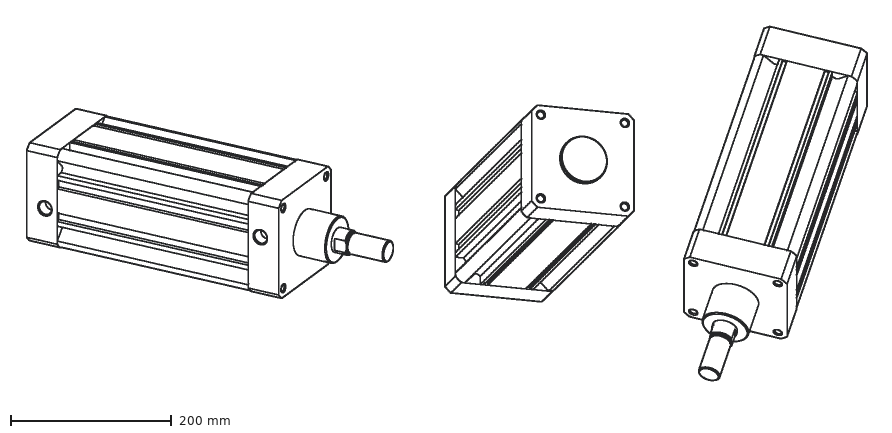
import cadquery as cq
import math


total_length = 485.0
cap_size = 134.0
cap_length = 43.5
barrel_length = 272.0
half_size = cap_size / 2

spigot_length = 6.5
spigot_chamfer = 1.0
collar_diameter = 60.0
collar_length = 46.5
collar_chamfer = 1.5

rear_cap_start = spigot_length
barrel_start = rear_cap_start + cap_length
front_cap_start = barrel_start + barrel_length
front_cap_end = front_cap_start + cap_length
collar_end = front_cap_end + collar_length

flat_half_width = 59.0
cap_corner_radius = math.hypot(half_size, flat_half_width)
screw_spacing = 109.5
screw_hole_diameter = 8.5
screw_hole_depth = 19.5
screw_hole_chamfer = 1.5
port_diameter = 17.5
port_depth = 17.0
port_chamfer = 1.5
port_height = 14.0
port_inset = 26.0

corner_offset = screw_spacing / 2
corner_rib_radius = half_size - corner_offset
channel_wall = 34.5
channel_ledge_level = 56.5
channel_floor_centre = 40.0
channel_floor_half_width = 2.5
channel_floor_radius = channel_floor_half_width / math.sin(math.radians(45))

slit_inner = 24.5
slit_outer = 30.0
slit_depth = 3.0

tapered_inner = 16.5
tapered_outer = 28.0
tapered_depth = 4.5
tapered_flank = 1.0

rod_diameter = 32.0
rod_collar_length = 4.0
shoulder_length = 20.0
shoulder_chamfer = 1.5
flat_width = 27.5
neck_length = 1.0
thread_diameter = 27.5
thread_chamfer = 1.5
neck_diameter = thread_diameter - 2 * thread_chamfer


def x_cylinder(start, length, diameter):
    return cq.Workplane("YZ", origin=(start, 0, 0)).circle(diameter / 2).extrude(length)


def cap_block(start):
    """Square block whose corners are turned down to a large circle."""
    block = cq.Workplane("YZ", origin=(start, 0, 0)).rect(cap_size, cap_size).extrude(cap_length)
    return block.intersect(x_cylinder(start, cap_length, 2 * cap_corner_radius))


def chamfered_bore(diameter, depth, chamfer):
    """Cutter for a blind hole from the origin along +Z with a chamfered mouth."""
    radius = diameter / 2
    outline = [(0, 0), (radius + chamfer, 0), (radius, chamfer), (radius, depth), (0, depth)]
    return cq.Workplane("XZ").polyline(outline).close().revolve(360, (0, 0, 0), (0, 1, 0))


def cut_screw_holes(cap, face_x, inward):
    """Cut the four corner holes; inward is +1 or -1, the drilling direction along X."""
    bore = chamfered_bore(screw_hole_diameter, screw_hole_depth, screw_hole_chamfer)
    bore = bore.rotate((0, 0, 0), (0, 1, 0), inward * 90)
    for y in (-corner_offset, corner_offset):
        for z in (-corner_offset, corner_offset):
            cap = cap.cut(bore.translate((face_x, y, z)))
    return cap


def cut_port(cap, x, z):
    bore = chamfered_bore(port_diameter, port_depth, port_chamfer)
    bore = bore.rotate((0, 0, 0), (1, 0, 0), -90)
    return cap.cut(bore.translate((x, -half_size, z)))


def make_rear_cap():
    spigot = x_cylinder(0, spigot_length, collar_diameter).faces("<X").chamfer(spigot_chamfer)
    cap = cap_block(rear_cap_start).union(spigot)
    cap = cut_screw_holes(cap, rear_cap_start, 1)
    return cut_port(cap, rear_cap_start + port_inset, -port_height)


def make_front_cap():
    collar = x_cylinder(front_cap_end, collar_length, collar_diameter)
    collar = collar.faces(">X").chamfer(collar_chamfer)
    cap = cap_block(front_cap_start).union(collar)
    cap = cut_screw_holes(cap, front_cap_end, -1)
    return cut_port(cap, front_cap_end - port_inset, port_height)


def barrel_plane():
    """Sketch plane of the barrel section: local x is Y and local y is Z."""
    return cq.Workplane("YZ", origin=(barrel_start, 0, 0))


def rib_channel():
    """Channel between the top face and the corner rib on the +Y side."""
    floor_start = channel_floor_centre - channel_floor_half_width
    floor_end = channel_floor_centre + channel_floor_half_width
    floor_end_level = half_size - (corner_offset - floor_end)
    arc_depth = channel_floor_radius - channel_floor_half_width
    return (
        barrel_plane()
        .moveTo(channel_wall, half_size)
        .lineTo(channel_wall, channel_ledge_level)
        .lineTo(floor_start, floor_end_level)
        .threePointArc((channel_floor_centre, floor_end_level - arc_depth), (floor_end, floor_end_level))
        .lineTo(corner_offset, half_size)
        .close()
        .extrude(barrel_length)
    )


def slit():
    """Straight-walled groove in the top face on the +Y side."""
    width = slit_outer - slit_inner
    outline = barrel_plane().center(slit_inner + width / 2, half_size).rect(width, 2 * slit_depth)
    return outline.extrude(barrel_length)


def tapered_groove():
    """Groove with leaning flanks, in the top face on the +Y side."""
    floor_level = half_size - tapered_depth
    outline = [
        (tapered_inner, half_size),
        (tapered_inner + tapered_flank, floor_level),
        (tapered_outer - tapered_flank, floor_level),
        (tapered_outer, half_size),
    ]
    return barrel_plane().polyline(outline).close().extrude(barrel_length)


def make_barrel():
    barrel = barrel_plane().rect(cap_size, cap_size).extrude(barrel_length)
    barrel = barrel.edges("|X").fillet(corner_rib_radius)
    for quarter_turn in range(4):
        groove = slit() if quarter_turn % 2 == 0 else tapered_groove()
        for cutter in (rib_channel(), groove):
            for half in (cutter, cutter.mirror("XZ")):
                barrel = barrel.cut(half.rotate((0, 0, 0), (1, 0, 0), 90 * quarter_turn))
    return barrel


def make_piston_rod():
    flats_start = collar_end + rod_collar_length
    shoulder_end = collar_end + shoulder_length
    thread_start = shoulder_end + neck_length
    thread_length = total_length - thread_start

    shoulder = x_cylinder(collar_end, shoulder_length, rod_diameter).faces(">X").chamfer(shoulder_chamfer)
    flats_length = shoulder_end - flats_start
    for side in (-1, 1):
        waste = cq.Workplane("XY").box(flats_length, rod_diameter, rod_diameter)
        waste_y = side * (flat_width + rod_diameter) / 2
        shoulder = shoulder.cut(waste.translate((flats_start + flats_length / 2, waste_y, 0)))

    neck = x_cylinder(shoulder_end, neck_length, neck_diameter)
    thread = x_cylinder(thread_start, thread_length, thread_diameter)
    thread = thread.faces("<X or >X").chamfer(thread_chamfer)
    return shoulder.union(neck).union(thread)


rear_cap = make_rear_cap()
barrel = make_barrel()
front_cap = make_front_cap()
piston_rod = make_piston_rod()

result = cq.Compound.makeCompound([rear_cap.val(), barrel.val(), front_cap.val(), piston_rod.val()])